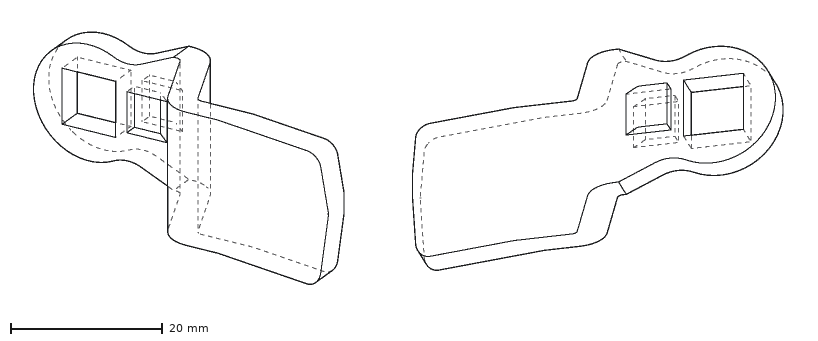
import cadquery as cq
import math

length = 53.5
width = 19.5
half_width = width / 2
thickness = 4.0

head_radius = 8.5
square_hole = 8.2
neck_radius = 5.0
neck_x = 14.5
flare_end_x = 21.5

bend_offset = 14.0
bend_angle = math.radians(68)
inner_bend_radius = 1.0
outer_bend_radius = inner_bend_radius + thickness
bend_start_x = 21.95

tab_x = 14.35
tab_flat = 4.0
tab_length = 6.15
tab_width = 6.0
tab_height = 2.0
tab_edge_radius = 1.0

tip_radius = 2.0
fold_start_x = 36.5
fold_apex_x = 53.3
back_fold_shift = 3.05
wing_angle = math.radians(17.1)
blade_back = -bend_offset
blade_front = blade_back - thickness


def bent_strip():
    """Z-shaped strip of constant thickness with rounded bends."""
    corner_shift = math.tan(bend_angle / 2)
    slope_run = bend_offset / math.tan(bend_angle)
    upper_front_x = bend_start_x + inner_bend_radius * corner_shift
    upper_back_x = upper_front_x + thickness * corner_shift
    lower_front_x = upper_front_x + slope_run
    lower_back_x = upper_back_x + slope_run
    strip = (
        cq.Workplane("XY", origin=(0, 0, -half_width))
        .moveTo(0, 0)
        .lineTo(upper_back_x, 0)
        .lineTo(lower_back_x, blade_back)
        .lineTo(length, blade_back)
        .lineTo(length, blade_front)
        .lineTo(lower_front_x, blade_front)
        .lineTo(upper_front_x, -thickness)
        .lineTo(0, -thickness)
        .close()
        .extrude(width)
    )
    bends = (
        (upper_back_x, 0, outer_bend_radius),
        (upper_front_x, -thickness, inner_bend_radius),
        (lower_back_x, blade_back, inner_bend_radius),
        (lower_front_x, blade_front, outer_bend_radius),
    )
    for x, y, radius in bends:
        strip = strip.edges(cq.selectors.NearestToPointSelector((x, y, 0))).fillet(radius)
    return strip


def fold_wedge(start_x, apex_x, face_y):
    """Wedge growing towards -Y from a fold line, limited to the upper half of the strip."""
    run = apex_x - start_x
    reach = length
    across = cq.Plane(
        origin=(apex_x, face_y, 0),
        xDir=(half_width, 0, run),
        normal=(-run, 0, half_width),
    )
    wedge = (
        cq.Workplane(across)
        .polyline([(0, 0), (reach, 0), (reach, -reach * math.tan(wing_angle))])
        .close()
        .extrude(reach, both=True)
    )
    upper_half = cq.Workplane("XY").box(length, 4 * length, half_width, centered=(False, True, False))
    return wedge.intersect(upper_half)


def fold_wings(strip):
    front = fold_wedge(fold_start_x, fold_apex_x, blade_front)
    back = fold_wedge(fold_start_x + back_fold_shift, fold_apex_x + back_fold_shift, blade_back)
    for wedge in (front, front.mirror("XY")):
        strip = strip.union(wedge)
    for wedge in (back, back.mirror("XY")):
        strip = strip.cut(wedge)
    return strip


def outline():
    """Solid with the part's outline in X and Z, deeper than the whole part in Y."""
    neck_z = math.sqrt((head_radius + neck_radius) ** 2 - (neck_x - head_radius) ** 2)
    head_share = head_radius / (head_radius + neck_radius)
    head_touch = (head_radius + (neck_x - head_radius) * head_share, neck_z * head_share)
    flare_dx = flare_end_x - neck_x
    flare_dz = half_width - neck_z
    flare_direction = math.atan2(flare_dz, flare_dx)
    flare_turn = math.acos(neck_radius / math.hypot(flare_dx, flare_dz))
    touch_angle = flare_direction - flare_turn
    flare_touch = (
        neck_x + neck_radius * math.cos(touch_angle),
        neck_z + neck_radius * math.sin(touch_angle),
    )
    neck_bottom = (neck_x, neck_z - neck_radius)

    def lower(point):
        return point[0], -point[1]

    return (
        cq.Workplane("XZ")
        .moveTo(*lower(head_touch))
        .threePointArc((0, 0), head_touch)
        .threePointArc(neck_bottom, flare_touch)
        .lineTo(flare_end_x, half_width)
        .lineTo(length, half_width)
        .lineTo(length, -half_width)
        .lineTo(flare_end_x, -half_width)
        .lineTo(*lower(flare_touch))
        .threePointArc(lower(neck_bottom), lower(head_touch))
        .close()
        .extrude(length, both=True)
        .edges("|Y and >X")
        .fillet(tip_radius)
    )


def tab_block(base_y):
    """Ramp-ended block standing on the plane Y = base_y."""
    top_y = base_y + tab_height
    return (
        cq.Workplane("XY", origin=(tab_x, 0, -tab_width / 2))
        .moveTo(0, base_y)
        .lineTo(0, top_y)
        .lineTo(tab_flat, top_y)
        .lineTo(tab_length, base_y)
        .close()
        .extrude(tab_width)
    )


def locating_tab():
    top_edge = cq.selectors.NearestToPointSelector((tab_x + tab_flat, tab_height, 0))
    return tab_block(0).edges(top_edge).fillet(tab_edge_radius)


def square_opening():
    return cq.Workplane("XY").box(square_hole, 4 * thickness, square_hole).translate((head_radius, 0, 0))


result = fold_wings(bent_strip()).intersect(outline())
result = result.union(locating_tab()).cut(tab_block(-thickness)).cut(square_opening())